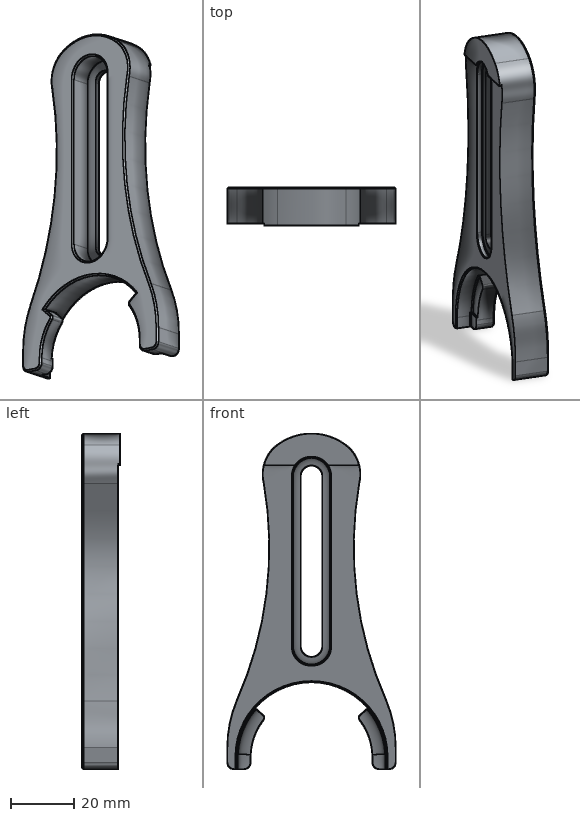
import cadquery as cq
import math

height = 106.5
width = 53.5
thickness = 11.5
edge_chamfer = 0.5
chamfer_angle = 45.0

crown_radius = 18.0
crown_half_chord = 10.9
shoulder_radius = 11.7
shoulder_end_z = 90.8
waist_half_width = 13.5
waist_z = 75.1
flare_half_width = 23.8
flare_z = 21.7
arm_straight_z = 6.9
arm_end_fillet = 2.2

pad_height = 0.6
pad_bottom_z = 96.4
pad_corner_fillet = 0.4

slot_half_width = 3.4
front_recess_half_width = 6.1
back_recess_half_width = 6.6
slot_top_z = 92.9
slot_bottom_z = 39.1
front_recess_depth = 1.9
web_thickness = 1.8
slot_lip_chamfer = 0.2
slot_root_chamfer = 0.2

fork_runout = 1.1
pick_reach = 0.5

fork_center_z = 3.8
fork_radius = 23.8
fork_lip_chamfer = 0.4
jaw_inner_radius = 19.3
jaw_front_y = 5.1
jaw_step_depth = 0.5
jaw_step_angle = 2.4
jaw_end_angle = 41.0
jaw_end_fillet = 1.1
jaw_root_chamfer = 0.4


def plane_at(y):
    """Workplane parallel to XZ at the given Y; negative extrusions go toward +Y."""
    return cq.Workplane("XZ", origin=(0, y, 0))


def polar(radius, degrees, center=(0, 0)):
    """Point at an angle above the X axis, measured from a center."""
    angle = math.radians(degrees)
    return center[0] + radius * math.cos(angle), center[1] + radius * math.sin(angle)


def mirrored(point):
    return -point[0], point[1]


def body_outline(y):
    """Outer outline of the plate, closed straight across the bottom."""
    crown_center_z = height - crown_radius
    crown_angle = math.degrees(math.acos(crown_half_chord / crown_radius))
    crown_end = polar(crown_radius, crown_angle, (0, crown_center_z))
    shoulder_center = polar(crown_radius - shoulder_radius, crown_angle, (0, crown_center_z))
    shoulder_end_angle = math.degrees(math.asin((shoulder_end_z - shoulder_center[1]) / shoulder_radius))
    shoulder_end = polar(shoulder_radius, shoulder_end_angle, shoulder_center)
    shoulder_mid = polar(shoulder_radius, (crown_angle + shoulder_end_angle) / 2, shoulder_center)
    waist = (waist_half_width, waist_z)
    flare = (flare_half_width, flare_z)
    inset = width / 2 - flare_half_width
    rise = flare_z - arm_straight_z
    arm_radius = (inset**2 + rise**2) / (2 * inset)
    arm_center = (width / 2 - arm_radius, arm_straight_z)
    arm_mid = polar(arm_radius, math.degrees(math.asin(rise / arm_radius)) / 2, arm_center)
    arm_top = (width / 2, arm_straight_z)
    foot = (width / 2, 0)
    return (
        plane_at(y)
        .moveTo(*mirrored(crown_end))
        .threePointArc((0, height), crown_end)
        .threePointArc(shoulder_mid, shoulder_end)
        .threePointArc(waist, flare)
        .threePointArc(arm_mid, arm_top)
        .lineTo(*foot)
        .lineTo(*mirrored(foot))
        .lineTo(*mirrored(arm_top))
        .threePointArc(mirrored(arm_mid), mirrored(flare))
        .threePointArc(mirrored(waist), mirrored(shoulder_end))
        .threePointArc(mirrored(shoulder_mid), mirrored(crown_end))
        .close()
    )


def arch(radius, y, depth):
    """Half-round opening with straight sides running out through the bottom."""
    return (
        plane_at(y)
        .moveTo(-radius, -fork_runout)
        .lineTo(-radius, fork_center_z)
        .threePointArc((0, fork_center_z + radius), (radius, fork_center_z))
        .lineTo(radius, -fork_runout)
        .close()
        .extrude(-depth)
    )


def slot(half_width, y, depth, taper=0):
    """Upright round-ended slot; every step shares the same end centers."""
    return (
        plane_at(y)
        .center(0, (slot_top_z + slot_bottom_z) / 2)
        .slot2D(slot_top_z - slot_bottom_z + 2 * half_width, 2 * half_width, 90)
        .extrude(-depth, taper=taper)
    )


def chamfered_arch(radius, y, depth, chamfer):
    """Arch whose rear rim is chamfered everywhere but along the open bottom."""
    return arch(radius, y, depth).faces(">Y").edges("not <Z").chamfer(chamfer)


def upper_sector(start_angle, y, depth):
    """Fork opening above two rays that rise from the fork center at an angle to either side."""
    center = (0, fork_center_z)
    end = polar(2 * fork_radius, start_angle, center)
    return (
        plane_at(y)
        .moveTo(*center)
        .lineTo(*end)
        .lineTo(end[0], height)
        .lineTo(-end[0], height)
        .lineTo(*mirrored(end))
        .close()
        .extrude(-depth)
        .intersect(arch(fork_radius, y, depth))
    )


def corner_edges(body, x, z):
    """Edges along Y that pass close to (x, z) or its mirror image across X = 0."""
    right, left = (
        cq.selectors.BoxSelector(
            (side * x - pick_reach, 0, z - pick_reach),
            (side * x + pick_reach, thickness, z + pick_reach),
        )
        for side in (1, -1)
    )
    return body.edges("|Y").edges(right + left)


def make_plate():
    """Plate with jaws, rounded arm ends and a chamfered back edge."""
    plate = body_outline(0).extrude(-thickness)
    plate = plate.cut(arch(jaw_inner_radius, 0, thickness)).cut(upper_sector(jaw_end_angle, 0, thickness))
    jaw_tip = polar(jaw_inner_radius, jaw_end_angle, (0, fork_center_z))
    plate = corner_edges(plate, *jaw_tip).fillet(jaw_end_fillet)
    for foot_x in (width / 2, jaw_inner_radius):
        plate = corner_edges(plate, foot_x, 0).fillet(arm_end_fillet)
    return plate.faces(">Y").edges().chamfer(edge_chamfer)


def make_pad():
    """Thin raised pad across the crown."""
    region = cq.Workplane("XY", origin=(0, 0, pad_bottom_z)).rect(width, thickness).extrude(height)
    pad = body_outline(-pad_height).extrude(-pad_height).intersect(region)
    return pad.edges("|Y").edges("<Z").fillet(pad_corner_fillet)


def make_slot_cut():
    """Through slot with a recess in front of the web and another behind it."""
    back_recess_y = front_recess_depth + web_thickness
    through = slot(slot_half_width, 0, thickness)
    front = slot(front_recess_half_width, -pad_height, pad_height + front_recess_depth)
    front = front.faces(">Y").edges().chamfer(slot_root_chamfer)
    back = slot(back_recess_half_width, back_recess_y, thickness - back_recess_y)
    front_half_width = front_recess_half_width + slot_lip_chamfer
    front_mouth = slot(front_half_width, -pad_height, pad_height)
    front_taper = slot(front_half_width, 0, slot_lip_chamfer, chamfer_angle)
    back_taper = slot(back_recess_half_width + edge_chamfer, thickness, -edge_chamfer, chamfer_angle)
    return through.union(front).union(back).union(front_mouth).union(front_taper).union(back_taper)


def make_fork_recess():
    """Recess in front of the jaws with a chamfered mouth; it is deeper over the curved jaws."""
    deep_y = jaw_front_y + jaw_step_depth
    shallow = chamfered_arch(fork_radius, 0, jaw_front_y, jaw_root_chamfer)
    deep = chamfered_arch(fork_radius, 0, deep_y, jaw_root_chamfer)
    deep = deep.intersect(upper_sector(jaw_step_angle, 0, deep_y))
    mouth_radius = fork_radius + fork_lip_chamfer
    mouth = chamfered_arch(mouth_radius, -fork_lip_chamfer, 2 * fork_lip_chamfer, fork_lip_chamfer)
    return shallow.union(deep).union(mouth)


plate = make_plate()
result = plate.union(make_pad()).cut(make_slot_cut()).cut(make_fork_recess())